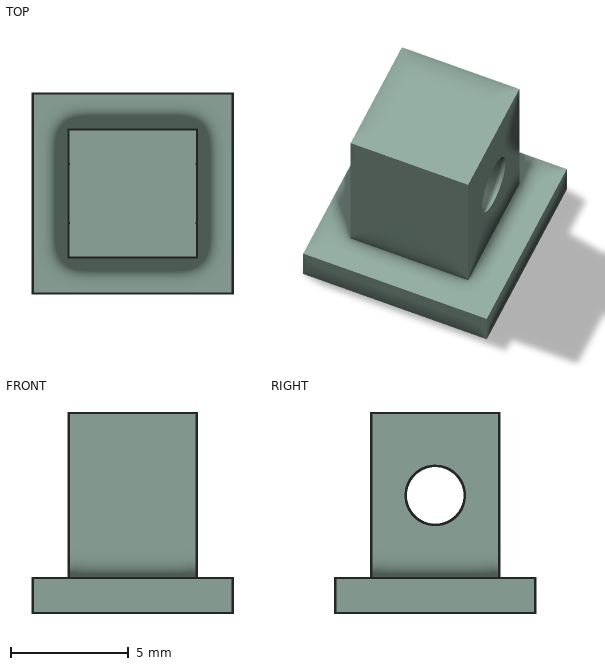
import cadquery as cq

base_side = 8.5
total_height = 8.5
base_thickness = 1.5
block_side = 5.44
hole_diameter = 2.5

block_height = total_height - base_thickness
hole_height = base_thickness + block_height / 2

base = cq.Workplane("XY").box(base_side, base_side, base_thickness, centered=(True, True, False))

block = (
    cq.Workplane("XY")
    .workplane(offset=base_thickness)
    .box(block_side, block_side, block_height, centered=(True, True, False))
)

hole = (
    cq.Workplane("YZ")
    .center(0, hole_height)
    .circle(hole_diameter / 2)
    .extrude(block_side, both=True)
)

result = base.union(block).cut(hole)